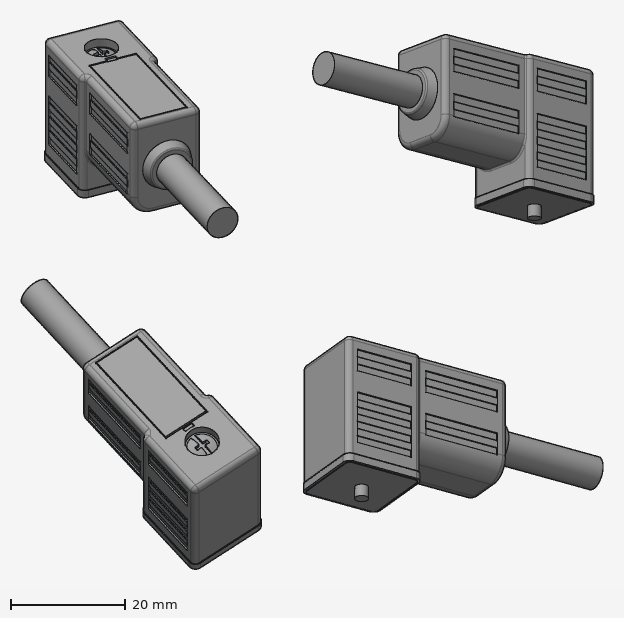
import cadquery as cq

total_length = 55.7
top_z = 24.9

flange_side = 15.6
flange_height = 1.65
flange_corner = 1.4
gasket_height = 0.15
gasket_inset = 0.45
head_x = flange_side / 2

body_side = 15.2
edge_round = 1.05
body_right = head_x + body_side / 2

arm_right = 33.7
arm_width = 13.5
arm_bottom_z = 5.9
arm_belly_round = 4.0
neck_round = 0.35

cable_z = 15.25
cable_radius = 3.0
gland_length = 2.0
gland_base_radius = 4.75
gland_tip_radius = 4.05
gland_round = 0.35

pin_radius = 1.2
pin_length = 2.25

grip_depth = 0.35
grip_bar_depth = 0.1
grip_upper_top = 22.35
grip_lower_top = 14.0
body_grip_width = 11.15
upper_grip_rows = 3
upper_grip_height = 4.25
grip_row_height = upper_grip_height / upper_grip_rows
lower_body_grip_rows = 7
lower_arm_grip_rows = 3
arm_grip_left = 16.8
arm_grip_right = 31.65

lid_left = 12.15
lid_right = 32.35
lid_width = 9.25
lid_gap = 0.15
lid_left_gap = 0.35
lid_groove_depth = 0.55
notch_length = 0.85
notch_width = 2.0
notch_depth = 0.35

screw_hole_radius = 3.0
screw_hole_depth = 1.65
screw_radius = 2.7
screw_dome_height = 0.65
slot_width = 0.85
cross_width = 0.7
cross_top_half = 1.45
cross_floor_half = 1.0


def block(x_min, x_max, width, z_min, z_max):
    """Box centred on the mid plane, given by its X and Z limits."""
    size = (x_max - x_min, width, z_max - z_min)
    return cq.Workplane("XY").box(*size, centered=(False, True, False)).translate((x_min, 0, z_min))


def make_housing():
    """Square body and cable arm, joined by a small neck fillet and rounded along the top."""
    body = block(head_x - body_side / 2, body_right, body_side, flange_height, top_z)
    body = body.edges("|Z").fillet(edge_round)
    arm = block(head_x, arm_right, arm_width, arm_bottom_z, top_z)
    arm = arm.edges("|X and <Z").fillet(arm_belly_round)
    housing = body.union(arm)
    near_neck = cq.selectors.BoxSelector(
        (body_right - neck_round, -body_side, arm_bottom_z - neck_round),
        (body_right + neck_round, body_side, top_z - neck_round),
    )
    housing = housing.edges(near_neck).fillet(neck_round)
    return housing.faces(">Z or >X").edges().fillet(edge_round)


def make_flange():
    """Foot flange with a thin gasket below it and the screw end reaching out."""
    flange = block(0, flange_side, flange_side, gasket_height, flange_height)
    flange = flange.edges("|Z").fillet(flange_corner)
    gasket = block(gasket_inset, flange_side - gasket_inset, flange_side - 2 * gasket_inset, 0, gasket_height)
    gasket = gasket.edges("|Z").fillet(flange_corner - gasket_inset)
    pin = cq.Workplane("XY").center(head_x, 0).circle(pin_radius).extrude(-pin_length)
    return flange.union(gasket).union(pin)


def make_cable():
    """Cable leaving the arm end through a tapered gland."""
    gland_end = arm_right + gland_length
    gland = (
        cq.Workplane("XZ")
        .moveTo(arm_right, 0)
        .lineTo(arm_right, gland_base_radius)
        .lineTo(gland_end, gland_tip_radius)
        .lineTo(gland_end, 0)
        .close()
        .revolve(360, (0, 0, 0), (1, 0, 0))
        .faces(">X").edges().fillet(gland_round)
    )
    cable = cq.Workplane("YZ", origin=(arm_right, 0, 0)).circle(cable_radius).extrude(total_length - arm_right)
    return gland.union(cable).translate((0, 0, cable_z))


def make_grip_cutter(x_min, x_max, half_width, panel_top, rows):
    """Material removed by one grip panel on both sides; every other row is a shallow bar."""
    cutter = cq.Workplane("XY")
    for row in range(rows):
        depth = grip_depth if row % 2 == 0 else grip_bar_depth
        row_top = panel_top - row * grip_row_height
        outer = block(x_min, x_max, 2 * (half_width + grip_depth), row_top - grip_row_height, row_top)
        core = block(x_min, x_max, 2 * (half_width - depth), row_top - grip_row_height, row_top)
        cutter = cutter.union(outer.cut(core))
    return cutter


def make_lid_cutter():
    """Groove around the lid and the pry notch at its left side."""
    floor_z = top_z - lid_groove_depth
    groove = block(lid_left, lid_right, lid_width, floor_z, top_z)
    lid = block(lid_left + lid_left_gap, lid_right - lid_gap, lid_width - 2 * lid_gap, floor_z, top_z)
    notch = block(lid_left - notch_length, lid_left, notch_width, top_z - notch_depth, top_z)
    return groove.cut(lid).union(notch)


def make_screw_cutter():
    """Round screw hole, leaving a domed head with a slot and a tapered cross recess at its floor."""
    floor_z = top_z - screw_hole_depth
    hole = cq.Workplane("XY", origin=(head_x, 0, floor_z)).circle(screw_hole_radius).extrude(screw_hole_depth)
    sphere_radius = (screw_radius**2 + screw_dome_height**2) / (2 * screw_dome_height)
    dome_top_z = floor_z + screw_dome_height
    ball = cq.Workplane("XY").sphere(sphere_radius).translate((head_x, 0, dome_top_z - sphere_radius))
    dome = hole.intersect(ball)
    slot = block(head_x - screw_radius, head_x + screw_radius, slot_width, floor_z, dome_top_z)
    cross = (
        cq.Workplane("YZ", origin=(head_x, 0, 0))
        .moveTo(-cross_floor_half, floor_z)
        .lineTo(cross_floor_half, floor_z)
        .lineTo(cross_top_half, dome_top_z)
        .lineTo(-cross_top_half, dome_top_z)
        .close()
        .extrude(cross_width / 2, both=True)
    )
    return hole.cut(dome.cut(slot).cut(cross))


result = make_housing().union(make_flange()).union(make_cable())

body_grip_left = head_x - body_grip_width / 2
body_grip_right = head_x + body_grip_width / 2
grip_panels = [
    (body_grip_left, body_grip_right, body_side / 2, grip_upper_top, upper_grip_rows),
    (body_grip_left, body_grip_right, body_side / 2, grip_lower_top, lower_body_grip_rows),
    (arm_grip_left, arm_grip_right, arm_width / 2, grip_upper_top, upper_grip_rows),
    (arm_grip_left, arm_grip_right, arm_width / 2, grip_lower_top, lower_arm_grip_rows),
]
for panel in grip_panels:
    result = result.cut(make_grip_cutter(*panel))

result = result.cut(make_lid_cutter()).cut(make_screw_cutter())